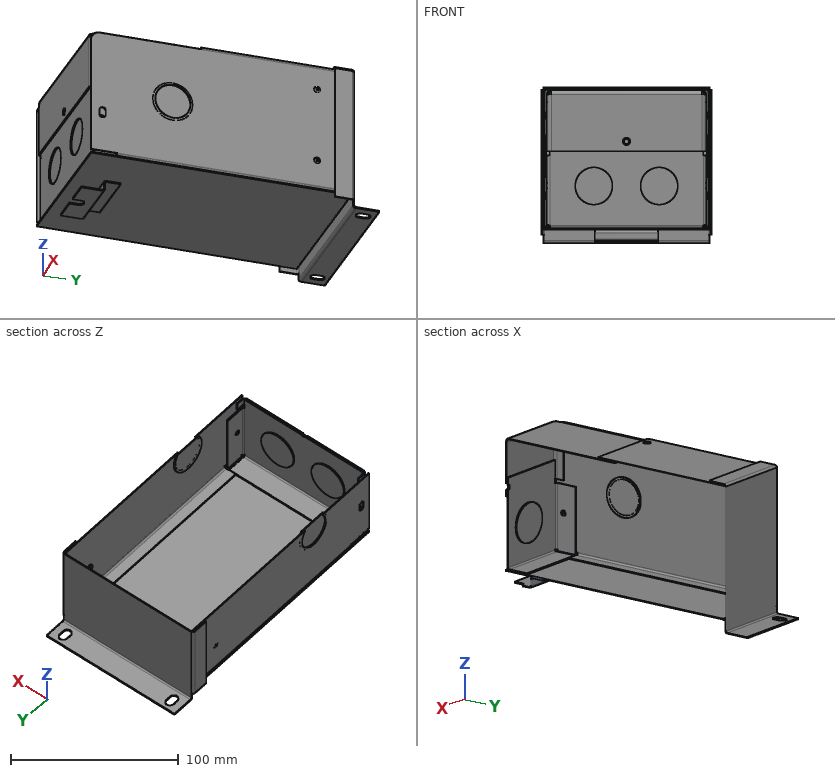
import cadquery as cq
SHEET = 1.0
BEND = 1.8
MID_BEND = BEND - SHEET / 2

TOTAL_WIDTH = 101.6
TOTAL_DEPTH = 182.1
TOTAL_HEIGHT = 93.3
BACK_FACE_Y = 166.3
BACK_FLANGE_FRONT_Y = 153.7
SIDE_FLANGE_BOTTOM_Z = 5.1
SIDE_FLANGE_TOP_Z = 91.8
BACK_SLOT_WIDTH = 5.5
BACK_SLOT_LENGTH = 9.1
BACK_SLOT_Y = 174.7

BASE_BOTTOM_Z = 8.2
BASE_TOP_Z = BASE_BOTTOM_Z + SHEET
FOOT_WIDTH = 37.7
FOOT_BOTTOM_Z = 1.0
FOOT_FRONT_Y = 4.5
FOOT_WEB_FRONT_Y = 18.5
FOOT_FLANGE_BACK_Y = 29.3
FOOT_SLOT_WIDTH = 6.0
FOOT_SLOT_END_Y = 12.7

WRAP_WIDTH = 99.0
WRAP_SHEET = 0.7
WRAP_TOP_Z = TOTAL_HEIGHT - SHEET
WRAP_BACK_Y = BACK_FACE_Y - BEND
ROOF_FRONT_Y = 70.0
BOTTOM_FLANGE = 9.1
NOTCH_BACK_Y = 16.4
WALL_CORNER_RADIUS = 5.5
WALL_SLOT_WIDTH = 4.0
WALL_SLOT_LENGTH = 6.7
WALL_SLOT_Y = 7.3
WALL_SLOT_Z = 37.0
DIMPLE_DIAMETER = 1.5
DIMPLE_BOSS_DIAMETER = 4.0
DIMPLE_Y = 143.0
DIMPLE_HEIGHTS = (28.5, 76.3)

KNOCKOUT_DIAMETER = 22.2
KNOCKOUT_BOSS_DIAMETER = 25.1
PRESS_DEPTH = 1.0
WALL_KNOCKOUT_Y = 51.7
WALL_KNOCKOUT_Z = 52.0
PANEL_KNOCKOUT_X = 19.5
PANEL_KNOCKOUT_Z = 34.2

FRONT_WIDTH = 95.0
COVER_BEND = 2.5
COVER_TOP_Z = WRAP_TOP_Z - SHEET
COVER_BOTTOM_Z = 54.8
COVER_BACK_Y = 82.0
COVER_LIP = 7.3
COVER_GAP = 0.2
PANEL_FACE_Y = SHEET + COVER_GAP
PANEL_SIDE_TOP_Z = 52.5
PANEL_TOP_Z = 66.8
PANEL_PIN_HOLE_DIAMETER = 3.3
PANEL_PIN_HOLE_Z = 34.5

CLEARANCE_DIAMETER = 4.4
THREAD_DIAMETER = 3.1
CORNER_X = 41.3
ROOF_SCREW_Y = 74.7
FRONT_SCREW_Z = 60.8


def block(x_range, y_range, z_range):
    """Box between the given limits."""
    sizes = [high - low for low, high in (x_range, y_range, z_range)]
    corner = (x_range[0], y_range[0], z_range[0])
    return cq.Workplane("XY").box(*sizes, centered=False).translate(corner)


def centred_block(width, y_range, z_range):
    """Box centred on X = 0."""
    return block((-width / 2, width / 2), y_range, z_range)


def disc(diameter, start, direction, length):
    """Cylinder from a start point along a direction."""
    cylinder = cq.Solid.makeCylinder(diameter / 2, length, cq.Vector(*start), cq.Vector(*direction))
    return cq.Workplane(cylinder)


def bent_strip(width, points):
    """Strip centred on X = 0 that follows mid-thickness (y, z) points with rounded bends."""
    path = cq.Wire.makePolygon([cq.Vector(0, y, z) for y, z in points]).fillet(MID_BEND)
    start = path.startPoint()
    plane = cq.Plane(origin=start.toTuple(), xDir=(1, 0, 0), normal=path.tangentAt(0).toTuple())
    return cq.Workplane(plane).rect(width, SHEET).sweep(cq.Workplane(path))


def press_inward(body, sheet, start, inward, recess_diameter, boss_diameter):
    """Press a round recess into a body's sheet from a point on its outer face, with a boss inside."""
    boss_start = tuple(s + sheet * d for s, d in zip(start, inward))
    boss = disc(boss_diameter, boss_start, inward, PRESS_DEPTH)
    recess = disc(recess_diameter, start, inward, PRESS_DEPTH)
    return body.union(boss).cut(recess)


def make_back_cover():
    half = SHEET / 2
    spine = bent_strip(WRAP_WIDTH, [
        (BACK_FLANGE_FRONT_Y, TOTAL_HEIGHT - half),
        (BACK_FACE_Y - half, TOTAL_HEIGHT - half),
        (BACK_FACE_Y - half, half),
        (TOTAL_DEPTH, half),
    ])
    flange_z = (SIDE_FLANGE_BOTTOM_Z, SIDE_FLANGE_TOP_Z)
    sides = centred_block(TOTAL_WIDTH, (BACK_FLANGE_FRONT_Y, BACK_FACE_Y), flange_z)
    sides = sides.edges("|Z and >Y").fillet(BEND)
    inside = centred_block(TOTAL_WIDTH - 2 * SHEET, (BACK_FLANGE_FRONT_Y, BACK_FACE_Y - SHEET), flange_z)
    inside = inside.edges("|Z and >Y").fillet(BEND - SHEET)
    slots = (
        cq.Workplane("XY")
        .pushPoints([(-CORNER_X, BACK_SLOT_Y), (CORNER_X, BACK_SLOT_Y)])
        .slot2D(BACK_SLOT_LENGTH, BACK_SLOT_WIDTH, 90)
        .extrude(SHEET)
    )
    return spine.union(sides.cut(inside)).cut(slots)


def make_base():
    half = SHEET / 2
    plate = centred_block(WRAP_WIDTH, (0, WRAP_BACK_Y), (BASE_BOTTOM_Z, BASE_TOP_Z))
    foot = bent_strip(FOOT_WIDTH, [
        (FOOT_FLANGE_BACK_Y, BASE_BOTTOM_Z - half),
        (FOOT_WEB_FRONT_Y + half, BASE_BOTTOM_Z - half),
        (FOOT_WEB_FRONT_Y + half, FOOT_BOTTOM_Z + half),
        (FOOT_FRONT_Y, FOOT_BOTTOM_Z + half),
    ])
    foot_z = (FOOT_BOTTOM_Z, FOOT_BOTTOM_Z + SHEET)
    slot_centre_y = FOOT_SLOT_END_Y - FOOT_SLOT_WIDTH / 2
    slot = centred_block(FOOT_SLOT_WIDTH, (FOOT_FRONT_Y, slot_centre_y), foot_z)
    slot_end = disc(FOOT_SLOT_WIDTH, (0, slot_centre_y, FOOT_BOTTOM_Z), (0, 0, 1), SHEET)
    return plate.union(foot.cut(slot).cut(slot_end))


def make_wrap():
    wrap_y = (0, WRAP_BACK_Y)
    outside = centred_block(WRAP_WIDTH, wrap_y, (BASE_TOP_Z, WRAP_TOP_Z)).edges("|Y").fillet(BEND)
    floor_top_z = BASE_TOP_Z + WRAP_SHEET
    inside_z = (floor_top_z, WRAP_TOP_Z - WRAP_SHEET)
    inside = centred_block(WRAP_WIDTH - 2 * WRAP_SHEET, wrap_y, inside_z)
    wrap = outside.cut(inside.edges("|Y").fillet(BEND - WRAP_SHEET))

    wrap = wrap.cut(centred_block(WRAP_WIDTH - 2 * BOTTOM_FLANGE, wrap_y, (BASE_TOP_Z, floor_top_z)))
    wrap = wrap.cut(centred_block(WRAP_WIDTH, (0, NOTCH_BACK_Y), (BASE_TOP_Z, BASE_TOP_Z + BEND)))
    wrap = wrap.cut(centred_block(WRAP_WIDTH, (0, ROOF_FRONT_Y), (WRAP_TOP_Z - BEND, WRAP_TOP_Z)))

    wrap = wrap.edges("|X").edges("<Y").edges(">Z").fillet(WALL_CORNER_RADIUS)

    wrap = wrap.cut(
        cq.Workplane("YZ")
        .center(WALL_SLOT_Y, WALL_SLOT_Z)
        .slot2D(WALL_SLOT_LENGTH, WALL_SLOT_WIDTH, 90)
        .extrude(WRAP_WIDTH / 2, both=True)
    )

    for side in (-1, 1):
        wall_x = side * WRAP_WIDTH / 2
        inward = (-side, 0, 0)
        knockout = (wall_x, WALL_KNOCKOUT_Y, WALL_KNOCKOUT_Z)
        wrap = press_inward(wrap, WRAP_SHEET, knockout, inward, KNOCKOUT_DIAMETER, KNOCKOUT_BOSS_DIAMETER)
        for height in DIMPLE_HEIGHTS:
            dimple = (wall_x, DIMPLE_Y, height)
            wrap = press_inward(wrap, WRAP_SHEET, dimple, inward, DIMPLE_DIAMETER, DIMPLE_BOSS_DIAMETER)

    for x in (-CORNER_X, CORNER_X):
        wrap = wrap.cut(disc(CLEARANCE_DIAMETER, (x, ROOF_SCREW_Y, WRAP_TOP_Z), (0, 0, -1), WRAP_SHEET))
    return wrap


def make_front_cover():
    outside = centred_block(FRONT_WIDTH, (0, COVER_BACK_Y), (COVER_BOTTOM_Z, COVER_TOP_Z))
    outside = outside.edges("|Y and >Z or |X and >Z and <Y or |Z and <Y").fillet(COVER_BEND)
    inside = centred_block(
        FRONT_WIDTH - 2 * SHEET, (SHEET, COVER_BACK_Y), (COVER_BOTTOM_Z, COVER_TOP_Z - SHEET)
    )
    inside = inside.edges("|Y and >Z or |X and >Z and <Y or |Z and <Y").fillet(COVER_BEND - SHEET)
    cover = outside.cut(inside)

    cover = cover.cut(centred_block(
        FRONT_WIDTH, (COVER_LIP, COVER_BACK_Y), (COVER_BOTTOM_Z, COVER_TOP_Z - COVER_LIP)
    ))

    for side in (-1, 1):
        edge_x = side * FRONT_WIDTH / 2
        x_range = sorted((edge_x, edge_x - side * COVER_BEND))
        cover = cover.cut(block(x_range, (0, COVER_BEND), (COVER_TOP_Z - COVER_BEND, COVER_TOP_Z)))

    for x in (-CORNER_X, CORNER_X):
        cover = cover.cut(disc(THREAD_DIAMETER, (x, ROOF_SCREW_Y, COVER_TOP_Z), (0, 0, -1), SHEET))
    return cover.cut(disc(CLEARANCE_DIAMETER, (0, 0, FRONT_SCREW_Z), (0, 1, 0), SHEET))


def make_front_panel():
    depth = (PANEL_FACE_Y, NOTCH_BACK_Y)
    outside = centred_block(FRONT_WIDTH, depth, (BASE_TOP_Z, PANEL_SIDE_TOP_Z))
    outside = outside.edges("|Z and <Y or |X and <Z and <Y").fillet(BEND)
    inside = centred_block(
        FRONT_WIDTH - 2 * SHEET, (PANEL_FACE_Y + SHEET, NOTCH_BACK_Y), (BASE_TOP_Z + SHEET, PANEL_SIDE_TOP_Z)
    )
    inside = inside.edges("|Z and <Y or |X and <Z and <Y").fillet(BEND - SHEET)
    panel = outside.cut(inside)

    for side in (-1, 1):
        edge_x = side * FRONT_WIDTH / 2
        x_range = sorted((edge_x, edge_x - side * BEND))
        panel = panel.cut(block(x_range, depth, (BASE_TOP_Z, BASE_TOP_Z + SHEET)))
        corner_y = (PANEL_FACE_Y, PANEL_FACE_Y + BEND)
        panel = panel.cut(block(x_range, corner_y, (BASE_TOP_Z, BASE_TOP_Z + BEND)))

    tongue = centred_block(
        FRONT_WIDTH - 2 * BEND, (PANEL_FACE_Y, PANEL_FACE_Y + SHEET), (PANEL_SIDE_TOP_Z, PANEL_TOP_Z)
    )
    panel = panel.union(tongue)

    for x in (-PANEL_KNOCKOUT_X, PANEL_KNOCKOUT_X):
        knockout = (x, PANEL_FACE_Y, PANEL_KNOCKOUT_Z)
        panel = press_inward(panel, SHEET, knockout, (0, 1, 0), KNOCKOUT_DIAMETER, KNOCKOUT_BOSS_DIAMETER)
    panel = panel.cut(disc(THREAD_DIAMETER, (0, PANEL_FACE_Y, FRONT_SCREW_Z), (0, 1, 0), SHEET))
    pin_start = (-FRONT_WIDTH / 2, WALL_SLOT_Y, PANEL_PIN_HOLE_Z)
    return panel.cut(disc(PANEL_PIN_HOLE_DIAMETER, pin_start, (1, 0, 0), FRONT_WIDTH))


back_cover = make_back_cover()
base = make_base()
wrap = make_wrap()
front_cover = make_front_cover()
front_panel = make_front_panel()

result = cq.Compound.makeCompound([
    back_cover.val(),
    base.val(),
    wrap.val(),
    front_cover.val(),
    front_panel.val(),
])